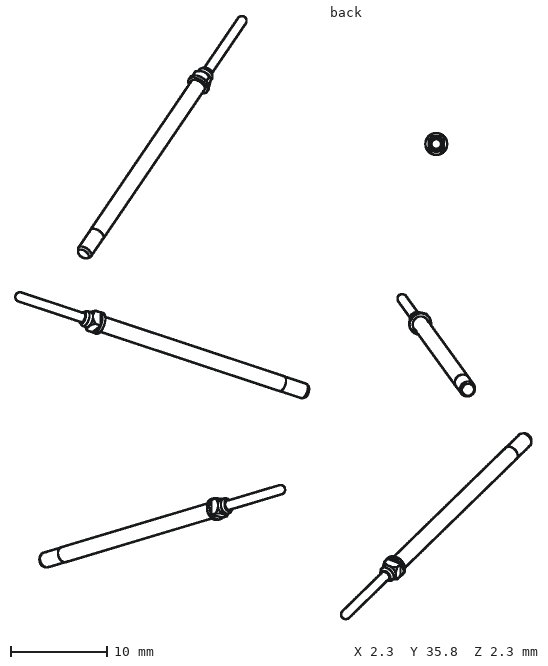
import cadquery as cq
import math

total_length = 35.8
pin_diameter = 1.0
barrel_diameter = 1.65
flange_diameter = 2.3

tail_diameter = 1.6
tail_length = 2.97
tail_taper_length = 0.3
tail_end_diameter = 1.3

collar_start = 8.25
collar_start_diameter = 1.25
collar_taper_length = 0.32
square_start = 9.0
flange_front = 9.95
flange_thickness = 0.35

square_side = 1.6

tip_radius = pin_diameter / 2
tip_y = total_length / 2
tail_y = -total_length / 2
square_y = tip_y - square_start
flange_front_y = tip_y - flange_front
flange_back_y = flange_front_y - flange_thickness


def revolve_about_axis(profile):
    return profile.revolve(360, (0, 0, 0), (0, 1, 0))


def pin_with_round_tip():
    """Contact pin with a hemispherical tip."""
    root_y = tip_y - collar_start
    shoulder_y = tip_y - tip_radius
    arc_offset = tip_radius * math.sqrt(0.5)
    profile = (
        cq.Workplane("XY")
        .moveTo(0, root_y)
        .lineTo(tip_radius, root_y)
        .lineTo(tip_radius, shoulder_y)
        .threePointArc((arc_offset, shoulder_y + arc_offset), (0, tip_y))
        .close()
    )
    return revolve_about_axis(profile)


def turned_section(stations):
    """Solid of revolution through (diameter, y) stations."""
    first_y = stations[0][1]
    last_y = stations[-1][1]
    outline = [(diameter / 2, y) for diameter, y in stations]
    profile = cq.Workplane("XY").polyline([(0, first_y)] + outline + [(0, last_y)]).close()
    return revolve_about_axis(profile)


def collar():
    collar_y = tip_y - collar_start
    return turned_section([
        (collar_start_diameter, collar_y),
        (barrel_diameter, collar_y - collar_taper_length),
        (barrel_diameter, square_y),
    ])


def square_section():
    length = square_y - flange_front_y
    square = cq.Workplane("XY").box(square_side, length, square_side)
    square = square.translate((0, flange_front_y + length / 2, 0))
    cone_end_diameter = barrel_diameter + 2 * length
    corner_cone = turned_section([
        (barrel_diameter, square_y),
        (cone_end_diameter, flange_front_y),
    ])
    return square.intersect(corner_cone)


def flange_barrel_and_tail():
    tail_start_y = tail_y + tail_length
    return turned_section([
        (flange_diameter, flange_front_y),
        (flange_diameter, flange_back_y),
        (barrel_diameter, flange_back_y),
        (barrel_diameter, tail_start_y),
        (tail_diameter, tail_start_y),
        (tail_diameter, tail_y + tail_taper_length),
        (tail_end_diameter, tail_y),
    ])


result = pin_with_round_tip().union(collar()).union(square_section()).union(flange_barrel_and_tail())